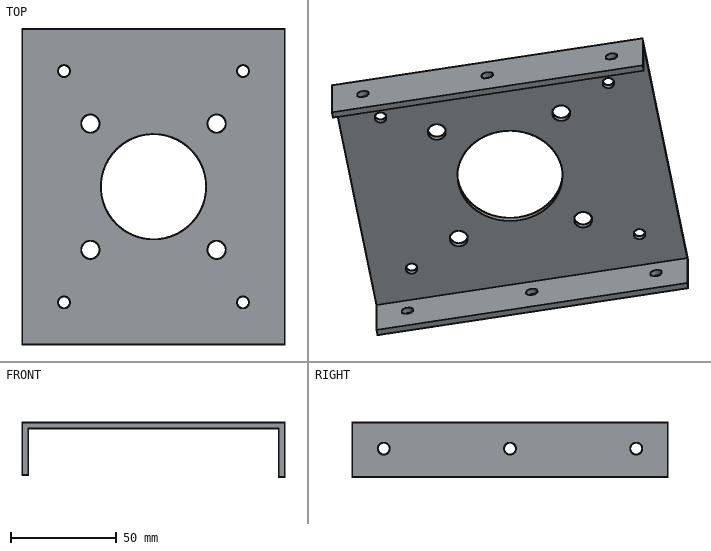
import cadquery as cq

length = 150.0
width = 125.0
thickness = 3.0
left_flange_height = 25.0
right_flange_height = 26.0

bore_diameter = 50.0
mount_hole_diameter = 8.5
mount_hole_spacing = 60.0
small_hole_diameter = 5.5
corner_spacing_x = 85.0
corner_spacing_y = 110.0

flange_hole_pitch = 60.0
flange_hole_count = 3
flange_hole_depth_below_top = 12.5


def box_from_top(x_min, x_size, height):
    """Full-length block hanging down from the top face at Z = 0."""
    block = cq.Workplane("XY").box(x_size, length, height, centered=(False, True, False))
    return block.translate((x_min, 0, -height))


def plate_hole_grid(spacing_x, spacing_y, diameter):
    """Four cutters at the corners of a centred rectangle."""
    return (
        cq.Workplane("XY")
        .rarray(spacing_x, spacing_y, 2, 2)
        .circle(diameter / 2)
        .extrude(-thickness)
    )


plate = box_from_top(-width / 2, width, thickness)
left_flange = box_from_top(-width / 2, thickness, left_flange_height)
right_flange = box_from_top(width / 2 - thickness, thickness, right_flange_height)
channel = plate.union(left_flange).union(right_flange)

bore = cq.Workplane("XY").circle(bore_diameter / 2).extrude(-thickness)
mount_holes = plate_hole_grid(mount_hole_spacing, mount_hole_spacing, mount_hole_diameter)
corner_holes = plate_hole_grid(corner_spacing_x, corner_spacing_y, small_hole_diameter)

flange_holes = (
    cq.Workplane("YZ")
    .center(0, -flange_hole_depth_below_top)
    .rarray(flange_hole_pitch, 1.5, flange_hole_count, 1)
    .circle(small_hole_diameter / 2)
    .extrude(width / 2, both=True)
)

result = channel.cut(bore).cut(mount_holes).cut(corner_holes).cut(flange_holes)